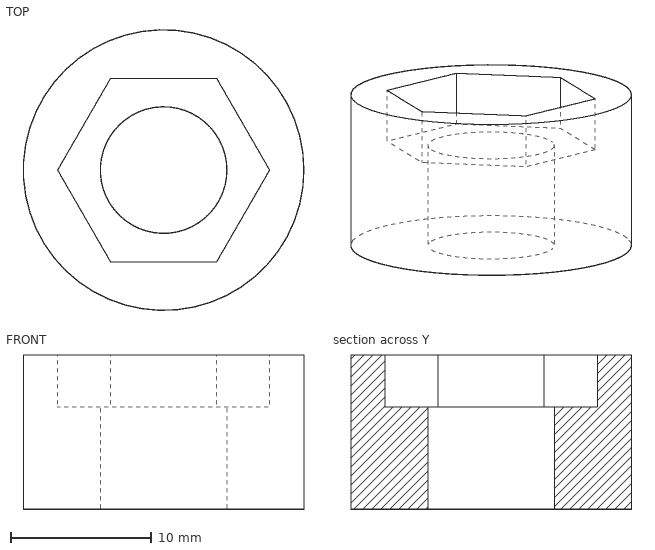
import cadquery as cq

body_diameter = 20.0
body_height = 11.0
bore_diameter = 9.0
hex_sides = 6
hex_across_corners = 15.1
hex_depth = 3.7


def make_body():
    """Cylinder standing on the XY plane, with a bore right through it."""
    return (
        cq.Workplane("XY")
        .circle(body_diameter / 2)
        .circle(bore_diameter / 2)
        .extrude(body_height)
    )


def make_hex_pocket():
    """Hexagonal prism below the top face, with two corners facing along X."""
    return (
        cq.Workplane("XY")
        .workplane(offset=body_height - hex_depth)
        .polygon(hex_sides, hex_across_corners)
        .extrude(hex_depth)
    )


result = make_body().cut(make_hex_pocket())